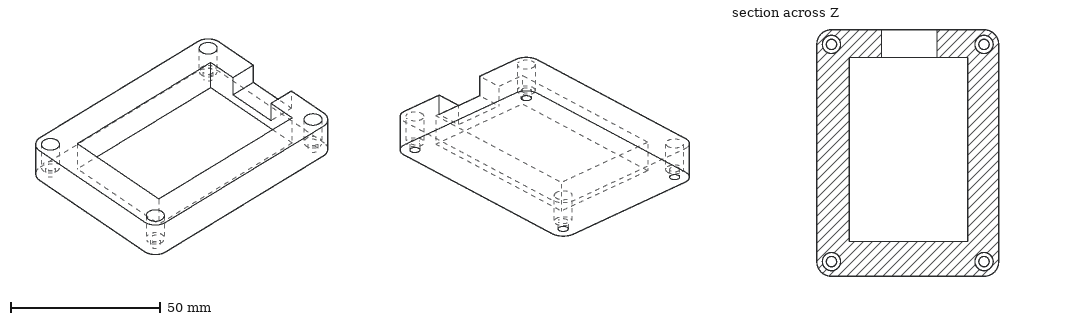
import cadquery as cq

width = 61.0
length = 82.7
height = 13.0
corner_radius = 5.0

pocket_width = 39.7
pocket_length = 61.5
pocket_depth = 11.0
pocket_left_margin = 10.9
pocket_back_margin = 9.4

notch_width = 18.5
notch_depth = 7.5
notch_left_margin = 21.75

hole_diameter = 3.4
counterbore_diameter = 6.0
counterbore_depth = 10.0


def make_block():
    block = cq.Workplane("XY").box(width, length, height, centered=(True, True, False))
    return block.edges("|Z").fillet(corner_radius)


def top_cutter(left, front, size_x, size_y, depth):
    """Box reaching down from the top face, placed by its left front corner."""
    return (
        cq.Workplane("XY")
        .box(size_x, size_y, depth, centered=False)
        .translate((left, front, height - depth))
    )


def make_pocket():
    left = -width / 2 + pocket_left_margin
    front = length / 2 - pocket_back_margin - pocket_length
    return top_cutter(left, front, pocket_width, pocket_length, pocket_depth)


def make_notch():
    left = -width / 2 + notch_left_margin
    front = length / 2 - pocket_back_margin
    return top_cutter(left, front, notch_width, pocket_back_margin, notch_depth)


def drill_corners(body):
    spacing_x = width - 2 * corner_radius
    spacing_y = length - 2 * corner_radius
    return (
        body.faces(">Z")
        .workplane(origin=(0, 0, height))
        .rect(spacing_x, spacing_y, forConstruction=True)
        .vertices()
        .cboreHole(hole_diameter, counterbore_diameter, counterbore_depth)
    )


result = drill_corners(make_block()).cut(make_pocket()).cut(make_notch())